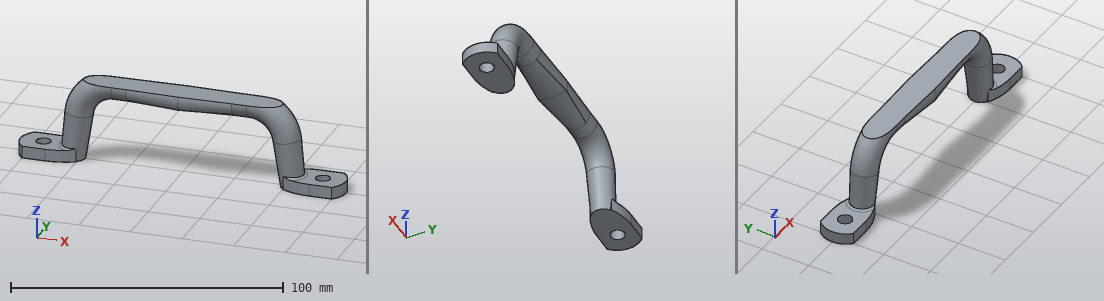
import cadquery as cq
import math

length = 126.2
height = 31.8

foot_width = 14.3
foot_thickness = 4.7
foot_corner_x = -60.0
foot_taper_x = -51.1
foot_end_x = -40.1
foot_side_radius = 23.7
hole_x = -54.1
hole_diameter = 5.5

leg_lean = 7.2
leg_bottom_radius = 4.5
tube_radius = 5.3
collar_radius = 1.5
leg_overlap = 2.5

grip_bottom = 25.5
bend_inner_radius = 8.8
bend_x = -26.3
swell_start_x = -20.5
swell_top_half_width = 5.7
swell_half_width = 6.3
swell_lower_half_width = 5.8
swell_side_z = 29.0
swell_lower_z = 26.6

tube_z = grip_bottom + tube_radius
bend_radius = bend_inner_radius + tube_radius
bend_z = tube_z - bend_radius
lean = math.radians(leg_lean)

leg_top_x = bend_x - bend_radius * math.cos(lean)
leg_top_z = bend_z + bend_radius * math.sin(lean)


def leg_axis_x(z):
    return leg_top_x - (leg_top_z - z) * math.tan(lean)


def make_leg():
    """Cone along the leaning axis, trimmed flush with the base plane."""
    leg_length = leg_top_z / math.cos(lean) + leg_overlap
    bottom_z = leg_top_z - leg_length * math.cos(lean)
    cone = cq.Solid.makeCone(
        leg_bottom_radius,
        tube_radius,
        leg_length,
        pnt=cq.Vector(leg_axis_x(bottom_z), 0, bottom_z),
        dir=cq.Vector(math.sin(lean), 0, math.cos(lean)),
    )
    above_base = cq.Workplane("XY").box(length, length, height, centered=(True, True, False))
    return cq.Workplane(cone).intersect(above_base)


def make_bend():
    """Round tube turned from the leg to the horizontal, cut flat at the top."""
    bend = (
        cq.Workplane("YZ", origin=(bend_x, 0, 0))
        .center(0, tube_z)
        .circle(tube_radius)
        .revolve(90 - leg_lean, (1.3, -bend_radius), (-1.3, -bend_radius))
    )
    below_top = cq.Workplane("XY").box(length, length, height, centered=(True, True, False))
    return bend.intersect(below_top)


def grip_section(x, top_half_width, side, lower):
    """Flat-topped grip profile with curved sides and a curved underside."""
    side_y, side_z = side
    lower_y, lower_z = lower
    return (
        cq.Workplane("YZ", origin=(x, 0, 0))
        .moveTo(-top_half_width, height)
        .lineTo(top_half_width, height)
        .threePointArc((side_y, side_z), (lower_y, lower_z))
        .threePointArc((0, grip_bottom), (-lower_y, lower_z))
        .threePointArc((-side_y, side_z), (-top_half_width, height))
        .close()
    )


def make_grip_half():
    """Straight tube followed by a swell that is widest at mid-length."""
    tube_top = math.sqrt(tube_radius**2 - (height - tube_z) ** 2)
    lower_offset = tube_radius * math.sqrt(0.5)
    side = (tube_radius, tube_z)
    lower = (lower_offset, tube_z - lower_offset)
    straight = grip_section(bend_x, tube_top, side, lower).extrude(swell_start_x - bend_x)
    start = grip_section(swell_start_x, tube_top, side, lower)
    middle = grip_section(
        0,
        swell_top_half_width,
        (swell_half_width, swell_side_z),
        (swell_lower_half_width, swell_lower_z),
    )
    profiles = [start.wires().val(), middle.wires().val()]
    swell = cq.Workplane(cq.Solid.makeLoft(profiles, True))
    return straight.union(swell)


def foot_outline():
    half_width = foot_width / 2
    taper_run = foot_end_x - foot_taper_x

    def taper_y(run):
        drop = foot_side_radius - math.sqrt(foot_side_radius**2 - run**2)
        return half_width - drop

    taper_mid_x = foot_taper_x + taper_run / 2
    taper_mid_y = taper_y(taper_run / 2)
    taper_end_y = taper_y(taper_run)
    return (
        cq.Workplane("XY")
        .moveTo(foot_corner_x, half_width)
        .lineTo(foot_taper_x, half_width)
        .threePointArc((taper_mid_x, taper_mid_y), (foot_end_x, taper_end_y))
        .lineTo(foot_end_x, -taper_end_y)
        .threePointArc((taper_mid_x, -taper_mid_y), (foot_taper_x, -half_width))
        .lineTo(foot_corner_x, -half_width)
        .threePointArc((-length / 2, 0), (foot_corner_x, half_width))
        .close()
    )


def make_collar():
    """Concave ring blending the leg into the foot, kept within the foot outline."""
    collar_top = foot_thickness + collar_radius
    outer = leg_bottom_radius + collar_radius
    arc_offset = collar_radius * (1 - math.sqrt(0.5))
    ring = (
        cq.Workplane("XZ", origin=(leg_axis_x(collar_top), 0, 0))
        .moveTo(0, 0)
        .lineTo(outer, 0)
        .lineTo(outer, foot_thickness)
        .threePointArc(
            (leg_bottom_radius + arc_offset, foot_thickness + arc_offset),
            (leg_bottom_radius, collar_top),
        )
        .lineTo(0, collar_top)
        .close()
        .revolve(360, (0, 0), (0, 1))
    )
    return ring.intersect(foot_outline().extrude(collar_top))


def make_foot():
    foot = foot_outline().extrude(foot_thickness).union(make_collar())
    hole = cq.Workplane("XY").center(hole_x, 0).circle(hole_diameter / 2).extrude(foot_thickness)
    return foot.cut(hole)


half = make_foot().union(make_leg()).union(make_bend()).union(make_grip_half())
result = half.union(half.mirror("YZ"))